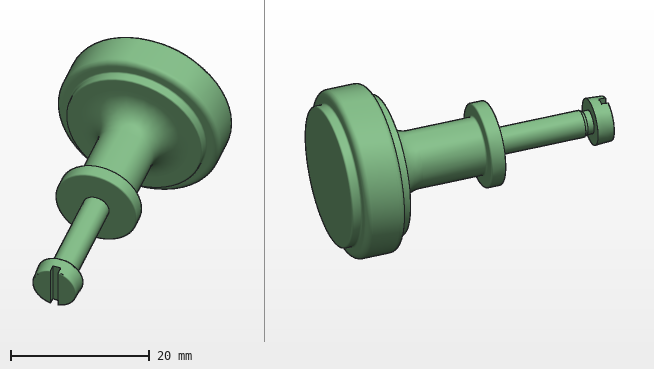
import cadquery as cq

overall_length = 42.6

rim_diameter = 25.0
rim_radius = rim_diameter / 2
rim_back_depth = 1.5
rim_front_depth = 7.55
rim_round = 0.95
land_radius = 10.5
head_depth = 9.0
stem_radius = 4.3
stem_flare = 4.0
collar_radius = 6.25
collar_back_depth = 22.8
collar_front_depth = 25.0
edge_round = 0.25

shank_radius = 2.0
shank_end_depth = 39.05
neck_radius = 1.75
shank_chamfer_length = 0.43
screw_head_depth = 40.0
screw_head_radius = 3.5
screw_head_end_radius = 3.32
screw_head_round = 0.15
slot_width = 1.2
slot_depth = 1.05


def disc(radius, start_depth, end_depth):
    """Cylinder on the Y axis between two depths from the back face."""
    return cq.Workplane("XZ", origin=(0, -start_depth, 0)).circle(radius).extrude(end_depth - start_depth)


def corner(radius, depth):
    """Selector for the circular edge of a given radius at a given depth."""
    margin = 0.005
    reach = radius + margin
    return cq.selectors.BoxSelector(
        (-reach, -depth - margin, -reach), (reach, -depth + margin, reach), boundingbox=True
    ) - cq.selectors.BoxSelector(
        (-radius + margin, -depth - margin, -radius + margin),
        (radius - margin, -depth + margin, radius - margin),
        boundingbox=True,
    )


def make_knob():
    knob = (
        disc(land_radius, 0, head_depth)
        .union(disc(rim_radius, rim_back_depth, rim_front_depth))
        .union(disc(stem_radius, head_depth, collar_back_depth))
        .union(disc(collar_radius, collar_back_depth, collar_front_depth))
    )
    rounds = [
        (stem_radius, head_depth, stem_flare),
        (rim_radius, rim_back_depth, rim_round),
        (rim_radius, rim_front_depth, rim_round),
        (land_radius, rim_back_depth, edge_round),
        (land_radius, rim_front_depth, edge_round),
        (land_radius, 0, edge_round),
        (land_radius, head_depth, edge_round),
        (stem_radius, collar_back_depth, edge_round),
        (collar_radius, collar_back_depth, edge_round),
        (collar_radius, collar_front_depth, edge_round),
    ]
    for edge_radius, depth, round_radius in rounds:
        knob = knob.edges(corner(edge_radius, depth)).fillet(round_radius)
    return knob


def make_screw():
    half_profile = [
        (0, -collar_front_depth),
        (shank_radius, -collar_front_depth),
        (shank_radius, -shank_end_depth + shank_chamfer_length),
        (neck_radius, -shank_end_depth),
        (neck_radius, -screw_head_depth),
        (screw_head_radius, -screw_head_depth),
        (screw_head_end_radius, -overall_length),
        (0, -overall_length),
    ]
    screw = cq.Workplane("XY").polyline(half_profile).close().revolve(360, (0, 0, 0), (0, 1, 0))
    screw = screw.faces("<Y").edges().fillet(screw_head_round)
    slot = (
        cq.Workplane("XZ", origin=(0, -overall_length + slot_depth, 0))
        .rect(slot_width, 2 * screw_head_radius)
        .extrude(slot_depth)
    )
    return screw.cut(slot)


knob = make_knob()
screw = make_screw()

result = cq.Compound.makeCompound([knob.val(), screw.val()])